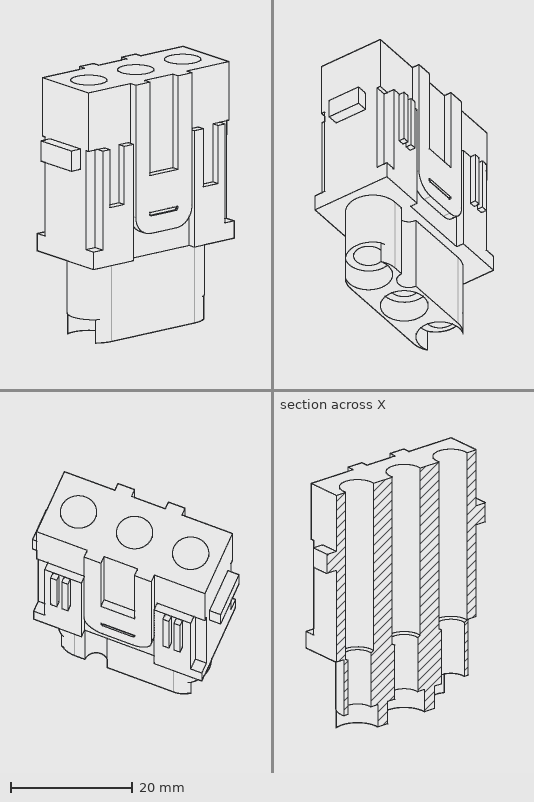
import cadquery as cq

overall_length = 34.0
overall_height = 44.1
housing_width = 14.7
housing_length = 30.05
housing_height = 30.05
core_width = 12.0
wing_height = 20.0

corner_notch = 2.0
flange_height = 3.0

tongue_width = 12.0
tongue_bottom = 4.0
tongue_corner_radius = 3.3
tongue_gap = 0.5
slot_width = 6.0
slot_bottom = 14.0
recess_top = 7.65
recess_height = 0.6
recess_depth = 0.4
recess_corner = 0.3

rib_depth = 1.0
rib_width = 1.1
rib_length = 9.95
rib_top_drop = 0.1
rib_pair_width = 3.1

tab_height = 3.5
front_tab_width = 8.0
back_tab_width = 6.0

skirt_radius = 4.55
skirt_length = 26.77
groove_radius = 2.0
bore_pitch = 10.0
bore_diameter = 6.0
throat_diameter = 5.0
cone_height = 0.3
socket_diameter = 7.9
socket_depth = 4.0

wing_depth = (housing_width - core_width) / 2
wing_length = (housing_length - tongue_width) / 2 - tongue_gap
tab_length = (overall_length - housing_length) / 2
skirt_height = overall_height - housing_height


def box(x_min, x_max, y_min, y_max, z_min, z_max):
    """Box given by its limits along each axis."""
    size = (x_max - x_min, y_max - y_min, z_max - z_min)
    return cq.Workplane("XY").box(*size, centered=False).translate((x_min, y_min, z_min))


def core():
    """Central block carrying the wings and tongues."""
    half_width = core_width / 2
    half_length = housing_length / 2
    return box(-half_width, half_width, -half_length, half_length, 0, housing_height)


def wings():
    """Low pads at both ends of each long side."""
    body = cq.Workplane("XY")
    for side in (-1, 1):
        for end in (-1, 1):
            x = side * (core_width + wing_depth) / 2
            y = end * (housing_length - wing_length) / 2
            pad = cq.Workplane("XY").box(wing_depth, wing_length, wing_height, centered=(True, True, False))
            body = body.union(pad.translate((x, y, 0)))
    return body


def tongue():
    """Round-cornered tongue on the -X side, with its slot and shallow recess."""
    outer = -housing_width / 2
    inner = -core_width / 2
    half_width = tongue_width / 2
    plate = box(outer, inner, -half_width, half_width, tongue_bottom, housing_height)
    plate = plate.edges("|X and <Z").fillet(tongue_corner_radius)
    slot = box(outer, inner, -slot_width / 2, slot_width / 2, slot_bottom, housing_height)
    recess = box(
        outer, outer + recess_depth,
        -slot_width / 2, slot_width / 2,
        recess_top - recess_height, recess_top,
    )
    recess = recess.edges("|X and <Z").chamfer(recess_corner)
    return plate.cut(slot).cut(recess)


def corner_notches():
    """Square upright reliefs at the four corners, from the flange to the wing top."""
    notch_height = wing_height - flange_height
    return (
        cq.Workplane("XY", origin=(0, 0, flange_height))
        .rect(housing_width - corner_notch, housing_length - corner_notch, forConstruction=True)
        .vertices()
        .rect(corner_notch, corner_notch)
        .extrude(notch_height)
    )


def end_tabs():
    """Locating tabs of different width on the two ends."""
    half_length = housing_length / 2
    bottom = wing_height - tab_height
    front = box(
        -front_tab_width / 2, front_tab_width / 2,
        -half_length - tab_length, -half_length,
        bottom, wing_height,
    )
    back = box(
        -back_tab_width / 2, back_tab_width / 2,
        half_length, half_length + tab_length,
        bottom, wing_height,
    )
    return front.union(back)


def coding_ribs():
    """A pair of upright ribs on each -X wing, level with the outer bores."""
    ribs = cq.Workplane("XY")
    outer = -housing_width / 2
    rib_offset = (rib_pair_width - rib_width) / 2
    for end in (-1, 1):
        for step in (-1, 1):
            y = end * bore_pitch + step * rib_offset
            ribs = ribs.union(box(
                outer - rib_depth, outer,
                y - rib_width / 2, y + rib_width / 2,
                wing_height - rib_length, wing_height - rib_top_drop,
            ))
    return ribs


def keyways():
    """Open-topped slots in the +X wings, as wide as a pair of ribs."""
    cutters = cq.Workplane("XY")
    for end in (-1, 1):
        y = end * bore_pitch
        cutters = cutters.union(box(
            core_width / 2, housing_width / 2,
            y - rib_pair_width / 2, y + rib_pair_width / 2,
            wing_height - rib_length, wing_height,
        ))
    return cutters


def skirt():
    """Round-ended skirt below the housing, with one half-round polarising groove."""
    body = (
        cq.Workplane("XY")
        .slot2D(skirt_length, 2 * skirt_radius, 90)
        .extrude(-skirt_height)
    )
    groove = (
        cq.Workplane("XY")
        .center(-skirt_radius, bore_pitch / 2)
        .circle(groove_radius)
        .extrude(-skirt_height)
    )
    return body.cut(groove)


def contact_bore():
    """Stepped bore: wide entry, shallow cone, throat, then the socket at the bottom."""
    entry = bore_diameter / 2
    throat = throat_diameter / 2
    socket = socket_diameter / 2
    socket_top = socket_depth - skirt_height
    profile = [
        (0, housing_height),
        (entry, housing_height),
        (entry, 0),
        (throat, -cone_height),
        (throat, socket_top),
        (socket, socket_top),
        (socket, -skirt_height),
        (0, -skirt_height),
    ]
    return cq.Workplane("XZ").polyline(profile).close().revolve(360, (0, 0, 0), (0, 1, 0))


left_tongue = tongue()
housing = core().union(wings()).union(left_tongue).union(left_tongue.mirror("YZ"))
housing = housing.cut(corner_notches()).cut(keyways())

result = housing.union(coding_ribs()).union(end_tabs()).union(skirt())
for row in (-1, 0, 1):
    result = result.cut(contact_bore().translate((0, row * bore_pitch, 0)))